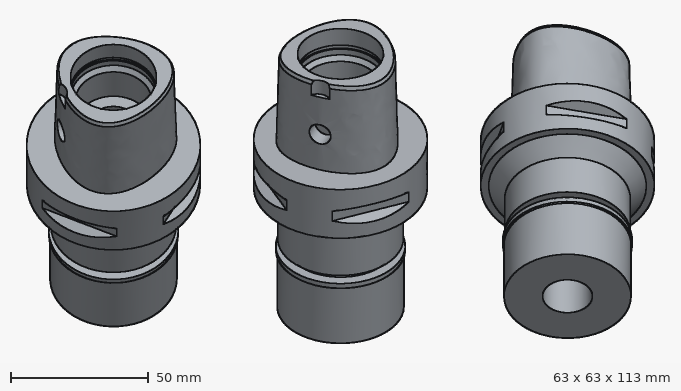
import cadquery as cq
import math

TOTAL_HEIGHT = 113.0
NUT_TOP = 27.1
NECK_BOTTOM = 30.3
CONE_BOTTOM = 46.9
FLANGE_BOTTOM = 53.2
FLANGE_TOP = 75.0

FLANGE_RADIUS = 31.5
CONE_TOP_RADIUS = 28.6
NECK_RADIUS = 22.8
RELIEF_RADIUS = 19.5

SHANK_BASE_RADIUS = 22.0
SHANK_RIM_RADIUS = 21.1
LOBE_HEIGHT = 1.4
LOBE_COUNT = 3
RIM_CHAMFER_HEIGHT = 1.5
RIM_CHAMFER_INSET = 0.7
RIM_LEVEL = TOTAL_HEIGHT - RIM_CHAMFER_HEIGHT
OUTLINE_POINTS = 48

THROUGH_RADIUS = 9.0
MOUTH_RADIUS = 15.6
INNER_RADIUS = 13.9
GROOVE_RADIUS = 16.2
GROOVE_TOP_DEPTH = 7.3
GROOVE_BOTTOM_DEPTH = 9.2
SEAT_TOP_DEPTH = 11.8
SEAT_BOTTOM_DEPTH = 13.5
POCKET_DEPTH = 27.1

KEYWAY_RADIUS = 4.7
CROSS_HOLE_RADIUS = 4.2
KEYWAY_INNER_Y = -18.0
KEYWAY_DEPTH = 6.1
CROSS_HOLE_LEVEL = 90.6
CROSS_HOLE_END_Y = -14.2

SLOT_COUNT = 4
SLOT_FIRST_ANGLE = 45.0
SLOT_LEVEL = 63.0
SLOT_FLOOR_DISTANCE = 27.7
SLOT_FLOOR_HEIGHT = 4.3
SLOT_MOUTH_HEIGHT = 7.8

NUT_RADIUS = 23.0
NUT_COLLAR_RADIUS = 23.5
NUT_COLLAR_BOTTOM = 25.1
NUT_COLLAR_CHAMFER = NUT_COLLAR_RADIUS - NUT_RADIUS


def revolve_profile(points):
    """Turn a (radius, height) outline around the Z axis."""
    return cq.Workplane("XZ").polyline(points).close().revolve(360, (0, 0, 0), (0, 1, 0))


def shank_wire(mean_radius, level):
    """Closed three-lobed curve at one level."""
    points = []
    for i in range(OUTLINE_POINTS):
        angle = 2 * math.pi * i / OUTLINE_POINTS
        lobe_angle = (LOBE_COUNT - 1) * angle
        x = mean_radius * math.sin(angle) - LOBE_HEIGHT * math.sin(lobe_angle)
        y = mean_radius * math.cos(angle) + LOBE_HEIGHT * math.cos(lobe_angle)
        points.append(cq.Vector(x, y, level))
    return cq.Wire.assembleEdges([cq.Edge.makeSpline(points, periodic=True)])


def make_shank():
    """Tapered lobed shank with a chamfered rim."""
    base = shank_wire(SHANK_BASE_RADIUS, FLANGE_TOP)
    rim = shank_wire(SHANK_RIM_RADIUS, RIM_LEVEL)
    face = shank_wire(SHANK_RIM_RADIUS - RIM_CHAMFER_INSET, TOTAL_HEIGHT)
    taper = cq.Solid.makeLoft([base, rim], True)
    chamfer = cq.Solid.makeLoft([rim, face], True)
    return cq.Workplane(taper).union(cq.Workplane(chamfer))


def make_turned_blank():
    """Flange, cone, neck and relief below the shank."""
    return revolve_profile([
        (0, NUT_TOP),
        (RELIEF_RADIUS, NUT_TOP),
        (RELIEF_RADIUS, NECK_BOTTOM),
        (NECK_RADIUS, NECK_BOTTOM),
        (NECK_RADIUS, CONE_BOTTOM),
        (CONE_TOP_RADIUS, FLANGE_BOTTOM),
        (FLANGE_RADIUS, FLANGE_BOTTOM),
        (FLANGE_RADIUS, FLANGE_TOP),
        (0, FLANGE_TOP),
    ])


def make_bore():
    """Through bore with a grooved, conically stepped mouth."""
    return revolve_profile([
        (0, NUT_TOP),
        (THROUGH_RADIUS, NUT_TOP),
        (THROUGH_RADIUS, TOTAL_HEIGHT - POCKET_DEPTH),
        (INNER_RADIUS, TOTAL_HEIGHT - POCKET_DEPTH),
        (INNER_RADIUS, TOTAL_HEIGHT - SEAT_BOTTOM_DEPTH),
        (MOUTH_RADIUS, TOTAL_HEIGHT - SEAT_TOP_DEPTH),
        (MOUTH_RADIUS, TOTAL_HEIGHT - GROOVE_BOTTOM_DEPTH),
        (GROOVE_RADIUS, TOTAL_HEIGHT - GROOVE_BOTTOM_DEPTH),
        (GROOVE_RADIUS, TOTAL_HEIGHT - GROOVE_TOP_DEPTH),
        (MOUTH_RADIUS, TOTAL_HEIGHT - GROOVE_TOP_DEPTH),
        (MOUTH_RADIUS, TOTAL_HEIGHT),
        (0, TOTAL_HEIGHT),
    ])


def make_keyway():
    """Vertical round-backed notch in the shank rim."""
    center_y = KEYWAY_INNER_Y - KEYWAY_RADIUS
    floor = cq.Workplane("XY", origin=(0, center_y, TOTAL_HEIGHT - KEYWAY_DEPTH))
    return floor.circle(KEYWAY_RADIUS).extrude(KEYWAY_DEPTH)


def make_cross_hole():
    """Blind hole running in from the -Y side."""
    end = cq.Workplane("XZ", origin=(0, CROSS_HOLE_END_Y, CROSS_HOLE_LEVEL))
    return end.circle(CROSS_HOLE_RADIUS).extrude(FLANGE_RADIUS + CROSS_HOLE_END_Y)


def make_gripper_slot(angle):
    """Straight slot with sloping sides that widen to the flange surface."""
    half_floor = SLOT_FLOOR_HEIGHT / 2
    half_mouth = SLOT_MOUTH_HEIGHT / 2
    section = cq.Workplane("XZ", origin=(0, FLANGE_RADIUS, SLOT_LEVEL)).polyline([
        (SLOT_FLOOR_DISTANCE, -half_floor),
        (FLANGE_RADIUS, -half_mouth),
        (FLANGE_RADIUS, half_mouth),
        (SLOT_FLOOR_DISTANCE, half_floor),
    ]).close()
    slot = section.extrude(2 * FLANGE_RADIUS)
    return slot.rotate((0, 0, 0), (0, 0, 1), angle)


def make_holder():
    """Tool holder: lobed shank, gripping flange and nut-side neck."""
    holder = make_turned_blank().union(make_shank())
    holder = holder.cut(make_bore()).cut(make_keyway()).cut(make_cross_hole())
    for i in range(SLOT_COUNT):
        holder = holder.cut(make_gripper_slot(SLOT_FIRST_ANGLE + i * 360 / SLOT_COUNT))
    return holder


def make_nut():
    """Clamping nut with a collar at its upper end and a plain bore."""
    return revolve_profile([
        (THROUGH_RADIUS, 0),
        (NUT_RADIUS, 0),
        (NUT_RADIUS, NUT_COLLAR_BOTTOM - NUT_COLLAR_CHAMFER),
        (NUT_COLLAR_RADIUS, NUT_COLLAR_BOTTOM),
        (NUT_COLLAR_RADIUS, NUT_TOP),
        (THROUGH_RADIUS, NUT_TOP),
    ])


holder = make_holder()
nut = make_nut()
result = cq.Compound.makeCompound([holder.solids().val(), nut.val()])